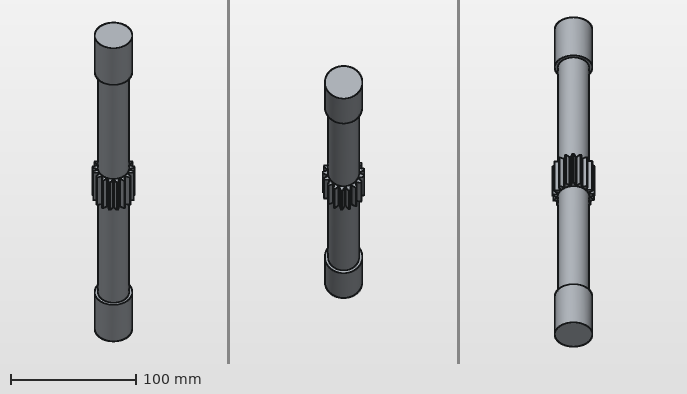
import cadquery as cq
import math

total_length = 320.0
shaft_diameter = 25.0

journal_diameter = 30.0
journal_length = 40.0

tooth_count = 17
gear_width = 30.0
tip_diameter = 33.5
root_diameter = 27.0
tip_thickness = 1.12
middle_thickness = 2.72
root_thickness = 4.0
first_tooth_angle = 181.3


def centred_cylinder(diameter, length, centre_z=0.0):
    """Cylinder along Z whose mid-length lies at centre_z."""
    start_z = centre_z - length / 2
    return cq.Workplane("XY").workplane(offset=start_z).circle(diameter / 2).extrude(length)


def on_circle(diameter, half_thickness):
    """Point on a circle about the axis, offset sideways from the +X direction."""
    return (math.sqrt((diameter / 2) ** 2 - half_thickness**2), half_thickness)


def mirrored(point):
    """The same point on the opposite tooth flank."""
    return (point[0], -point[1])


def gear_tooth():
    """One tooth pointing along +X from the axis, with curved flanks and an arc tip."""
    middle_diameter = (tip_diameter + root_diameter) / 2
    root = on_circle(root_diameter, root_thickness / 2)
    middle = on_circle(middle_diameter, middle_thickness / 2)
    tip = on_circle(tip_diameter, tip_thickness / 2)
    return (
        cq.Workplane("XY")
        .workplane(offset=-gear_width / 2)
        .moveTo(0, 0)
        .lineTo(*root)
        .threePointArc(middle, tip)
        .threePointArc((tip_diameter / 2, 0), mirrored(tip))
        .threePointArc(mirrored(middle), mirrored(root))
        .close()
        .extrude(gear_width)
    )


def gear():
    """Root cylinder with the teeth spread evenly around it."""
    body = centred_cylinder(root_diameter, gear_width)
    tooth = gear_tooth()
    for index in range(tooth_count):
        angle = first_tooth_angle + index * 360.0 / tooth_count
        body = body.union(tooth.rotate((0, 0, 0), (0, 0, 1), angle))
    return body


result = centred_cylinder(shaft_diameter, total_length).union(gear())

journal_centre = (total_length - journal_length) / 2
for side in (-1, 1):
    result = result.union(centred_cylinder(journal_diameter, journal_length, side * journal_centre))